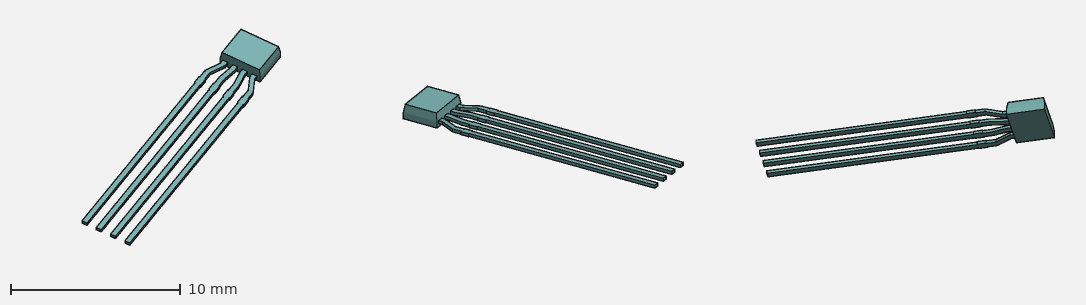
import cadquery as cq

overall_length = 17.35

body_width = 2.78
body_depth = 2.3
body_height = 0.95
parting_height = 0.42
top_inset = 0.09

lead_count = 4
lead_width = 0.35
lead_thickness = 0.2
root_pitch = 0.68
tip_pitch = 0.99
shoulder_width = 0.43

bend_start = 0.28
bend_end = 1.21
shoulder_start = 1.8
shoulder_end = 2.35
lead_length = overall_length - body_depth


def make_body():
    lower = cq.Workplane("XY").rect(body_width, body_depth).extrude(parting_height)
    upper = (
        cq.Workplane("XY", origin=(0, 0, parting_height))
        .rect(body_width, body_depth)
        .workplane(offset=body_height - parting_height)
        .rect(body_width - 2 * top_inset, body_depth - 2 * top_inset)
        .loft(ruled=True)
    )
    return lower.union(upper).translate((0, body_depth / 2, 0))


def make_lead(root_x, tip_x):
    """Flat lead that jogs sideways and widens at a shoulder; the body front is at Y = 0."""
    stations = [
        (root_x, 0, lead_width),
        (root_x, bend_start, lead_width),
        (tip_x, bend_end, lead_width),
        (tip_x, shoulder_start, lead_width),
        (tip_x, shoulder_start, shoulder_width),
        (tip_x, shoulder_end, shoulder_width),
        (tip_x, shoulder_end, lead_width),
        (tip_x, lead_length, lead_width),
    ]
    left_side = [(x - width / 2, -distance) for x, distance, width in stations]
    right_side = [(x + width / 2, -distance) for x, distance, width in stations]
    lead_bottom = parting_height - lead_thickness
    return (
        cq.Workplane("XY", origin=(0, 0, lead_bottom))
        .polyline(left_side + right_side[::-1])
        .close()
        .extrude(lead_thickness)
    )


result = make_body()
for index in range(lead_count):
    place = index - (lead_count - 1) / 2
    result = result.union(make_lead(place * root_pitch, place * tip_pitch))